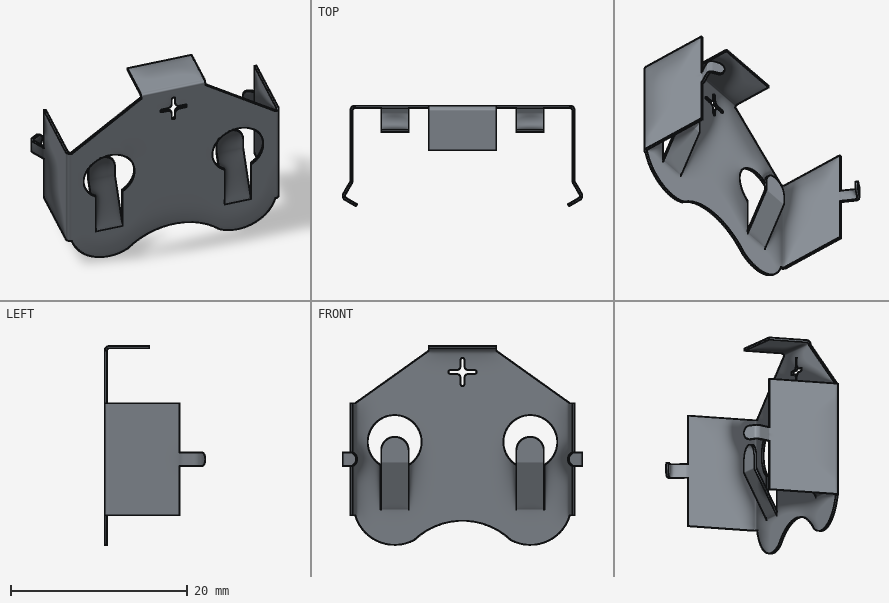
import cadquery as cq
import math


width = 27.2
depth = 11.42
height = 22.6

thickness = 0.27
bend_inner = 0.27
bend_outer = bend_inner + thickness
bend_mid = bend_inner + thickness / 2
overlap = 0.27

flange_span = 25.45
flange_depth = 8.5
flange_bottom = 3.37
flange_top = 16.1
flange_mid_z = (flange_bottom + flange_top) / 2

tab_width = 7.67
tab_depth = 5.08

plate_half_width = flange_span / 2 - bend_outer
lobe_x = 7.7
notch_half_width = 5.5
notch_height = 2.75

hole_radius = 3.05
hole_z = 11.7
slot_width = 3.2
slot_bottom = 4.02
tongue_x = 7.67
tongue_width = 3.15
tongue_depth = 3.02
tongue_fold_z = 9.35
tongue_top = 12.3
tongue_fold_inner = 0.03

cross_z = 19.63
cross_length = 3.18
cross_width = 0.4
cross_fillet = 0.5

arm_height = 1.58
arm_angle = math.radians(30)


def unit(start, end):
    length = math.dist(start, end)
    return ((end[0] - start[0]) / length, (end[1] - start[1]) / length)


def shift(point, direction, distance):
    return (point[0] + direction[0] * distance, point[1] + direction[1] * distance)


def left_of(direction):
    return (-direction[1], direction[0])


def side_of_strip(path, inner_radii, side):
    """Pieces of one face of a bent strip: [line end] or [arc middle, arc end].

    side is the signed offset of the face to the left of the mid-thickness path.
    """
    directions = [unit(a, b) for a, b in zip(path, path[1:])]
    pieces = [[shift(path[0], left_of(directions[0]), side)]]
    for corner, before, after, inner in zip(path[1:], directions, directions[1:], inner_radii):
        turn = math.atan2(before[0] * after[1] - before[1] * after[0],
                          before[0] * after[0] + before[1] * after[1])
        radius = math.copysign(inner + thickness / 2, turn)
        setback = radius * math.tan(turn / 2)
        arc_start = shift(corner, before, -setback)
        centre = shift(arc_start, left_of(before), radius)
        middle = unit((0, 0), (before[0] + after[0], before[1] + after[1]))
        on_arc = [shift(centre, left_of(d), side - radius) for d in (before, middle, after)]
        pieces.append([on_arc[0]])
        pieces.append(on_arc[1:])
    pieces.append([shift(path[-1], left_of(directions[-1]), side)])
    return pieces


def bent_strip(plane, path, inner_radii, strip_width):
    """Strip of sheet following a mid-thickness path, centred on the plane."""
    far_path = path[::-1]
    pieces = side_of_strip(path, inner_radii, thickness / 2)
    pieces += side_of_strip(far_path, inner_radii[::-1], thickness / 2)
    profile = cq.Workplane(plane).moveTo(*pieces[0][0])
    for piece in pieces[1:]:
        if len(piece) == 1:
            profile = profile.lineTo(*piece[0])
        else:
            profile = profile.threePointArc(*piece)
    return profile.close().extrude(strip_width / 2, both=True)


def round_end(centre, direction, normal, end_width):
    """Half disc of sheet that finishes a strip with a full round."""
    radius = end_width / 2
    plane = cq.Plane(origin=centre, xDir=direction, normal=normal)
    outline = cq.Workplane(plane).moveTo(0, -radius).threePointArc((radius, 0), (0, radius)).close()
    return outline.extrude(thickness / 2, both=True)


def back_plate():
    lobe_reach = plate_half_width - lobe_x
    lobe_radius = (lobe_reach**2 + flange_bottom**2) / (2 * flange_bottom)
    notch_z = lobe_radius - math.sqrt(lobe_radius**2 - (lobe_x - notch_half_width) ** 2)
    shoulder_z = height - bend_outer
    return (
        cq.Workplane("XZ")
        .moveTo(-tab_width / 2, shoulder_z)
        .lineTo(tab_width / 2, shoulder_z)
        .lineTo(plate_half_width, flange_top)
        .lineTo(plate_half_width, flange_bottom)
        .threePointArc((lobe_x, 0), (notch_half_width, notch_z))
        .threePointArc((0, notch_height), (-notch_half_width, notch_z))
        .threePointArc((-lobe_x, 0), (-plate_half_width, flange_bottom))
        .lineTo(-plate_half_width, flange_top)
        .close()
        .extrude(thickness)
    )


def keyhole():
    hole = cq.Workplane("XZ").center(lobe_x, hole_z).circle(hole_radius).extrude(thickness)
    slot_height = hole_z - slot_bottom
    slot = (
        cq.Workplane("XZ")
        .center(lobe_x, slot_bottom + slot_height / 2)
        .rect(slot_width, slot_height)
        .extrude(thickness)
    )
    return hole.union(slot)


def cross_opening():
    core_size = cross_width + 2 * cross_fillet
    centre = cq.Workplane("XZ").center(0, cross_z)
    core = centre.rect(core_size, core_size).extrude(thickness)
    corners = (
        centre.rect(core_size, core_size, forConstruction=True)
        .vertices()
        .circle(cross_fillet)
        .extrude(thickness)
    )
    opening = core.cut(corners)
    for angle in (0, 90):
        opening = opening.union(centre.slot2D(cross_length, cross_width, angle).extrude(thickness))
    return opening


def top_tab():
    plate_y = -thickness / 2
    tab_z = height - thickness / 2
    path = [
        (plate_y, height - bend_outer - overlap),
        (plate_y, tab_z),
        (-tab_depth, tab_z),
    ]
    return bent_strip("YZ", path, [bend_inner], tab_width)


def side_flange():
    plate_y = -thickness / 2
    flange_x = (flange_span - thickness) / 2
    path = [
        (plate_half_width - overlap, plate_y),
        (flange_x, plate_y),
        (flange_x, -flange_depth),
    ]
    flange = bent_strip("XY", path, [bend_inner], flange_top - flange_bottom)
    return flange.translate((0, 0, flange_mid_z))


def snap_arm():
    lean_out = math.sin(arm_angle)
    lean_forward = math.cos(arm_angle)
    neck_x = (flange_span - thickness) / 2
    neck_y = -flange_depth - bend_mid * math.tan(arm_angle / 2)
    elbow_x = width / 2 - bend_outer + bend_mid * (lean_out + lean_forward)
    elbow_y = neck_y - (elbow_x - neck_x) / math.tan(arm_angle)
    tip_y = -depth + thickness / 2 * lean_forward
    tip_leg = (elbow_y - tip_y) / lean_out - arm_height / 2
    round_centre = (elbow_x - tip_leg * lean_forward, elbow_y - tip_leg * lean_out)
    path = [
        (neck_x, -flange_depth + overlap),
        (neck_x, neck_y),
        (elbow_x, elbow_y),
        round_centre,
    ]
    arm = bent_strip("XY", path, [bend_inner, bend_inner], arm_height)
    tip_direction = (-lean_forward, -lean_out, 0)
    tip_normal = (lean_out, -lean_forward, 0)
    arm = arm.union(round_end((*round_centre, 0), tip_direction, tip_normal, arm_height))
    return arm.translate((0, 0, flange_mid_z))


def spring_tongue():
    plate_y = -thickness / 2
    tip_y = -tongue_depth + thickness / 2
    lean = math.atan2(plate_y - tip_y, tongue_fold_z - slot_bottom)
    root_z = slot_bottom + bend_mid * math.tan(lean / 2)
    round_z = tongue_top - tongue_width / 2
    path = [
        (plate_y, slot_bottom - overlap),
        (plate_y, root_z),
        (tip_y, tongue_fold_z),
        (tip_y, round_z),
    ]
    tongue = bent_strip("YZ", path, [bend_inner, tongue_fold_inner], tongue_width)
    tongue = tongue.union(round_end((0, tip_y, round_z), (0, 0, 1), (0, 1, 0), tongue_width))
    return tongue.translate((tongue_x, 0, 0))


def both_sides(shape):
    return shape.union(shape.mirror("YZ"))


result = back_plate().cut(both_sides(keyhole())).cut(cross_opening()).union(top_tab())
for right_side_feature in (side_flange(), snap_arm(), spring_tongue()):
    result = result.union(both_sides(right_side_feature))